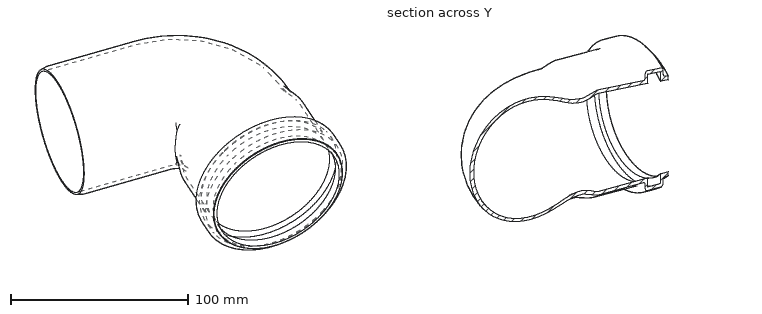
import cadquery as cq
import math


pipe_radius = 75.2 / 2
bore_radius = 71.0 / 2
bend_angle = 87.5
bend_radius = bore_radius + 0.1

spigot_length = 56.9
spigot_chamfer_length = 3.7
spigot_chamfer_depth = 0.9

socket_radius = 80.3 / 2
socket_bore_radius = 76.3 / 2
bead_radius = 89.2 / 2
groove_radius = 85.2 / 2
lip_radius = socket_radius
lip_bore_radius = 76.0 / 2
bead_wall = bead_radius - groove_radius

collar_end = 3.2
cone_end = 12.6
bead_start = 43.7
bead_end = 55.9
socket_end = 59.12

crest_round = 1.8
root_round = 1.0
lip_chamfer = 0.3


def place_on_socket_axis(body):
    """Carry a body built along +Y at the origin round the bend to the end of the bend."""
    return body.rotate((bend_radius, 0, 0), (bend_radius, 0, 1), -bend_angle)


def make_bend(section):
    """Sweep a section lying in the XZ plane round the bend axis."""
    return section.revolve(bend_angle, (bend_radius, 0, 0), (bend_radius, -1, 0))


def make_outer_bend():
    flat_half_height = math.sqrt(pipe_radius**2 - bend_radius**2)
    section = (
        cq.Workplane("XZ")
        .moveTo(bend_radius, -flat_half_height)
        .threePointArc((-pipe_radius, 0), (bend_radius, flat_half_height))
        .close()
    )
    return make_bend(section)


def make_spigot():
    return (
        cq.Workplane("XZ")
        .circle(pipe_radius)
        .extrude(spigot_length)
        .faces("<Y")
        .chamfer(spigot_chamfer_length, spigot_chamfer_depth)
    )


def round_offset(radius):
    """Distance from the tangent corner to the middle of a quarter-circle round."""
    return radius * (1 - math.sqrt(0.5))


def make_socket():
    crest = round_offset(crest_round)
    root = round_offset(root_round)
    profile = (
        cq.Workplane("XY")
        .lineTo(pipe_radius, 0)
        .lineTo(pipe_radius, collar_end)
        .lineTo(socket_radius, cone_end)
        .lineTo(socket_radius, bead_start - root_round)
        .threePointArc(
            (socket_radius + root, bead_start - root),
            (socket_radius + root_round, bead_start),
        )
        .lineTo(bead_radius - crest_round, bead_start)
        .threePointArc(
            (bead_radius - crest, bead_start + crest),
            (bead_radius, bead_start + crest_round),
        )
        .lineTo(bead_radius, bead_end - crest_round)
        .threePointArc(
            (bead_radius - crest, bead_end - crest),
            (bead_radius - crest_round, bead_end),
        )
        .lineTo(lip_radius + root_round, bead_end)
        .threePointArc(
            (lip_radius + root, bead_end + root),
            (lip_radius, bead_end + root_round),
        )
        .lineTo(lip_radius, socket_end - lip_chamfer)
        .lineTo(lip_radius - lip_chamfer, socket_end)
        .lineTo(0, socket_end)
        .close()
    )
    return place_on_socket_axis(profile.revolve(360, (0, 0, 0), (0, 1, 0)))


def make_socket_bore():
    groove_start = bead_start + bead_wall
    groove_end = bead_end - bead_wall
    profile = (
        cq.Workplane("XY")
        .lineTo(bore_radius, 0)
        .lineTo(bore_radius, collar_end)
        .lineTo(socket_bore_radius, cone_end)
        .lineTo(socket_bore_radius, groove_start)
        .lineTo(groove_radius, groove_start)
        .lineTo(groove_radius, groove_end)
        .lineTo(lip_bore_radius, groove_end)
        .lineTo(lip_bore_radius, socket_end)
        .lineTo(0, socket_end)
        .close()
    )
    return place_on_socket_axis(profile.revolve(360, (0, 0, 0), (0, 1, 0)))


def make_spigot_bore():
    return cq.Workplane("XZ").circle(bore_radius).extrude(spigot_length)


def make_bend_bore():
    return make_bend(cq.Workplane("XZ").circle(bore_radius))


body = make_outer_bend().union(make_spigot()).union(make_socket())
result = body.cut(make_spigot_bore()).cut(make_bend_bore()).cut(make_socket_bore())